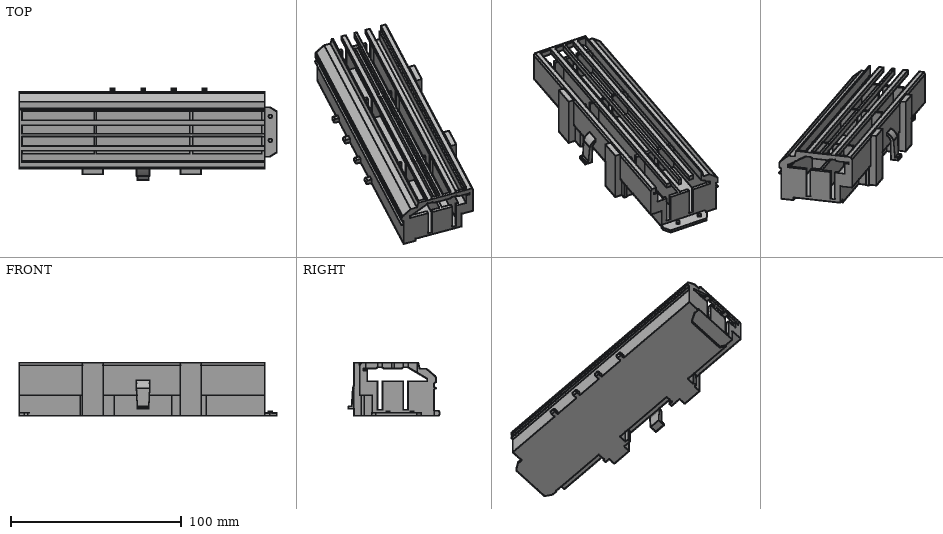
import cadquery as cq


body_length = 144.0
body_height = 31.15
rail_chamfer_depth = 0.8
rail_chamfer_height = 1.4
back_face = 43.5
top_back = 34.3
shoulder_front = 35.2
shoulder_back = 39.1
brow_face = 44.7
brow_bevel_start = (44.1, 23.4)
brow_top = 22.4
brow_bottom = 19.8
brow_root = 19.0
deck_height = 20.3
rail_underside = 12.15
recess_depth = 7.3

channel_front = 4.5
channel_back = 39.5
channel_roof = 27.6
bump_roof = 28.4
bump_ramp = 1.0
undercut_front = 2.1
undercut_floor = 26.7
channel_back_height = 21.7

front_gap = (3.6, 10.5)
bar_gaps = [(13.3, 18.7), (20.3, 25.5), (28.3, 33.6)]
end_plate = 1.6

floor_height = 3.6
pocket_rows = [(8.7, 18.9), (20.4, 38.2)]
end_wall = 1.9
ribs = [(43.9, 45.3), (99.9, 101.8)]
wire_slots = [(10.5, 13.2), (25.5, 28.2)]

clamp_starts = (37.0, 94.4)
clamp_width = 12.2
clamp_projection = 3.4
lug_front = 0.9
lug_stem = (36.3, 53.6)
lug_lip = (35.7, 55.7)
lug_lip_back = 2.7

latch_centre = 72.6
latch_top_width = 7.8
latch_foot_width = 6.6
latch_top = 20.9
latch_root_bottom = 19.2
latch_shoulder = 16.3
latch_face = 4.1
latch_heel = 4.75
latch_back = 2.2
latch_outer_bend = (-2.6, 18.9)
latch_inner_bend = (-1.4, 18.0)
latch_projection = 6.8
latch_foot_bottom = 4.1
latch_foot_top = 5.7
latch_foot_chamfer = 0.6

peg_centres_and_widths = [(54.8, 2.7), (72.7, 2.3), (90.6, 2.8), (108.6, 2.5)]
overall_depth = 53.75
peg_reach = overall_depth - latch_projection
peg_height = 3.1
peg_nose = 1.0
ridge_height = 16.2
ridge_reach = 44.9
ridge_half_height = 0.7

tongue_length = 7.0
tongue_straight = 2.9
tongue_thickness = 1.7
tongue_front = 6.9
tongue_back = 36.0
tongue_taper = 2.6
socket_length = 8.4
socket_front = 6.0
socket_taper = 3.2
pin_offset = 3.1
pin_positions = (16.5, 30.6)
pin_diameter = 2.1
pin_top = 2.7


def box(x_range, y_range, z_range):
    """Block given by its limits along each axis."""
    return (
        cq.Workplane("XY")
        .box(
            x_range[1] - x_range[0],
            y_range[1] - y_range[0],
            z_range[1] - z_range[0],
            centered=False,
        )
        .translate((x_range[0], y_range[0], z_range[0]))
    )


def extrude_along_x(outline, x_start, length):
    """Prism with a (Y, Z) outline."""
    return cq.Workplane("YZ", origin=(x_start, 0, 0)).polyline(outline).close().extrude(length)


def body_block():
    """Solid outer section of the body."""
    outline = [
        (0, rail_underside),
        (0, body_height - rail_chamfer_height),
        (rail_chamfer_depth, body_height),
        (top_back, body_height),
        (shoulder_front, channel_roof),
        (shoulder_back, channel_roof),
        brow_bevel_start,
        (brow_face, brow_top),
        (brow_face, brow_bottom),
        (back_face, brow_root),
        (back_face, 0),
        (recess_depth, 0),
        (recess_depth, rail_underside),
    ]
    return extrude_along_x(outline, 0, body_length)


def channel():
    """Prism of the open space above the deck, its roof raised over each wire slot."""
    first_slot, second_slot = wire_slots
    outline = [
        (channel_front, deck_height),
        (channel_front, undercut_floor),
        (undercut_front, undercut_floor),
        (undercut_front, channel_roof),
        (first_slot[0] - bump_ramp, channel_roof),
        (first_slot[0], bump_roof),
        (first_slot[1], bump_roof),
        (first_slot[1] + bump_ramp, channel_roof),
        (second_slot[0] - bump_ramp, channel_roof),
        (second_slot[0], bump_roof),
        (second_slot[1], bump_roof),
        (channel_back, channel_back_height),
        (channel_back, deck_height),
    ]
    return extrude_along_x(outline, 0, body_length)


def cut_bar_gaps(body):
    body = body.cut(box((end_plate, body_length), front_gap, (undercut_floor, body_height)))
    for gap in bar_gaps:
        body = body.cut(box((end_plate, body_length), gap, (deck_height, body_height)))
    return body


def cut_tray(body):
    starts = [end_wall] + [rib[1] for rib in ribs]
    ends = [rib[0] for rib in ribs] + [body_length - end_wall]
    for start, end in zip(starts, ends):
        for row in pocket_rows:
            body = body.cut(box((start, end), row, (floor_height, deck_height)))
    for slot in wire_slots:
        body = body.cut(box((0, body_length), slot, (floor_height, deck_height)))
    return body


def clamps():
    """Full-height front blocks, reaching back under the rail."""
    blocks = cq.Workplane("XY")
    for start in clamp_starts:
        x_range = (start, start + clamp_width)
        blocks = blocks.union(box(x_range, (-clamp_projection, 0), (0, body_height)))
        blocks = blocks.union(box(x_range, (0, lug_front), (0, rail_underside)))
    return blocks


def lugs():
    """T-shaped lugs on the set-back wall, mirrored about the latch."""
    stem = box(lug_stem, (lug_front, recess_depth), (0, rail_underside))
    lip = box(lug_lip, (lug_front, lug_lip_back), (0, rail_underside))
    left_lug = stem.union(lip)
    return left_lug.union(left_lug.mirror("YZ", (latch_centre, 0, 0)))


def latch():
    """Springy hook: curved top, sloping face that narrows downward, foot at the bottom."""
    left = latch_centre - latch_top_width / 2
    right = latch_centre + latch_top_width / 2
    side = (
        cq.Workplane("YZ", origin=(left, 0, 0))
        .moveTo(0, latch_top)
        .threePointArc(latch_outer_bend, (-latch_face, latch_shoulder))
        .lineTo(-latch_heel, latch_foot_top)
        .lineTo(-latch_projection + latch_foot_chamfer, latch_foot_top)
        .lineTo(-latch_projection, latch_foot_top - latch_foot_chamfer)
        .lineTo(-latch_projection, latch_foot_bottom)
        .lineTo(-latch_back, latch_foot_bottom)
        .lineTo(-latch_back, latch_shoulder)
        .threePointArc(latch_inner_bend, (0, latch_root_bottom))
        .close()
        .extrude(latch_top_width)
    )
    front = (
        cq.Workplane("XZ")
        .moveTo(left, latch_top)
        .lineTo(right, latch_top)
        .lineTo(right, latch_shoulder)
        .lineTo(latch_centre + latch_foot_width / 2, latch_foot_bottom)
        .lineTo(latch_centre - latch_foot_width / 2, latch_foot_bottom)
        .lineTo(left, latch_shoulder)
        .close()
        .extrude(latch_projection)
    )
    return side.intersect(front)


def back_pegs():
    """Short pegs with a rounded nose along the lower back edge."""
    nose_start = peg_reach - peg_nose
    root = back_face - peg_nose
    pegs = cq.Workplane("XY")
    for centre, width in peg_centres_and_widths:
        peg = (
            cq.Workplane("YZ", origin=(centre - width / 2, 0, 0))
            .moveTo(root, 0)
            .lineTo(nose_start, 0)
            .threePointArc((peg_reach, peg_height / 2), (nose_start, peg_height))
            .lineTo(root, peg_height)
            .close()
            .extrude(width)
        )
        pegs = pegs.union(peg)
    return pegs


def back_ridge():
    outline = [
        (back_face, ridge_height - ridge_half_height),
        (ridge_reach, ridge_height),
        (back_face, ridge_height + ridge_half_height),
    ]
    return extrude_along_x(outline, 0, body_length)


def tongue(x_start, length, front, taper):
    """Flat plate from x_start that narrows on both sides toward its right end."""
    return (
        cq.Workplane("XY")
        .moveTo(x_start, front)
        .lineTo(x_start + tongue_straight, front)
        .lineTo(x_start + length, front + taper)
        .lineTo(x_start + length, tongue_back - taper)
        .lineTo(x_start + tongue_straight, tongue_back)
        .lineTo(x_start, tongue_back)
        .close()
        .extrude(tongue_thickness)
    )


def pins():
    return (
        cq.Workplane("XY")
        .pushPoints([(body_length + pin_offset, y) for y in pin_positions])
        .circle(pin_diameter / 2)
        .extrude(pin_top)
    )


body = body_block().cut(channel())
body = cut_bar_gaps(body)
body = cut_tray(body)
body = body.cut(tongue(0, socket_length, socket_front, socket_taper))

result = (
    body.union(clamps())
    .union(lugs())
    .union(latch())
    .union(back_pegs())
    .union(back_ridge())
    .union(tongue(body_length, tongue_length, tongue_front, tongue_taper))
    .union(pins())
)